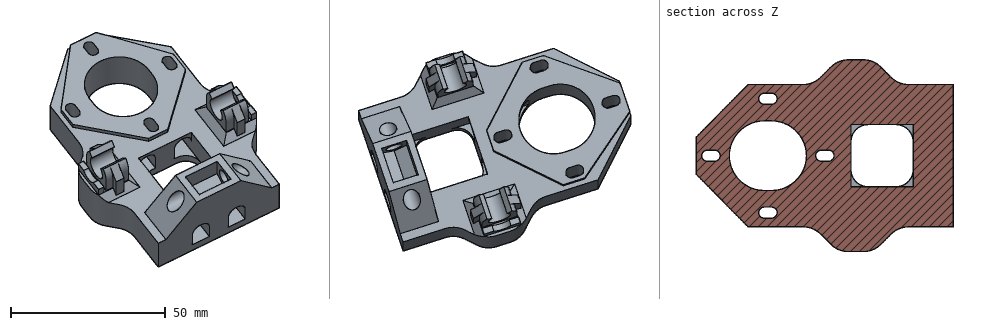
import cadquery as cq
import math


x_min = -23.15
x_max = 59.85
plate_half_width = 23.0
plate_height = 12.5
nose_half_width = 6.0
nose_shoulder_x = -6.4

clip_x = 28.4
wing_half_width = 31.0
wing_radius = 8.0
wing_top_half_length = 5.7
selection_margin = 1.0
overall_height = 24.51

pad_height = 1.5
pad_half_width = 21.4
pad_nose_half_width = 4.9
pad_flat_start_x = -2.4
pad_flat_end_x = 4.9
pad_end_x = 22.7
pad_end_half_width = 3.6
belt_travel = 2.4
motor_bore_diameter = 22.4
motor_hole_diameter = 3.5
motor_hole_spacing = 26.0
motor_hole_offset = motor_hole_spacing / math.sqrt(2)

window_size = 20.0
window_center_x = 36.85
window_corner_radius = 5.5
floor_height = 3.0
tunnel_width = 6.4
tunnel_spring_height = 8.1

block_length = 13.0
block_top_half_width = 8.4
block_height = 24.2
bolt_x = 53.35
bolt_z = 20.25
bolt_diameter = 5.5
nut_across_flats = 8.5
nut_trap_width = 12.0

flank_angle = 45.0
clip_outer_radius = 6.0
clip_inner_radius = 3.7
clip_start_y = 18.5
clip_length = 8.5
clip_axis_z = overall_height - clip_outer_radius * math.sin(math.radians(flank_angle))
seat_rise = 2.6
seat_top_half_length = 6.2
seat_top_z = plate_height + seat_rise
rib_half_length = 8.05
rib_width = 3.0
rib_start_y = 21.5
rib_peak_rise = 8.95
stop_start_y = 28.0
stop_thickness = 2.0
stop_top_z = 18.0


def both_sides(shape):
    """Return the shape joined with its mirror image across Y = 0."""
    return shape.union(shape.mirror("XZ"))


def box(x_range, y_range, z_range):
    """Return a block that fills the given ranges."""
    sizes = [high - low for low, high in (x_range, y_range, z_range)]
    corner = (x_range[0], y_range[0], z_range[0])
    return cq.Workplane("XY").box(*sizes, centered=False).translate(corner)


def along_y(start_y):
    """Return an XZ workplane at start_y with its origin below the clip axis, at Z = 0."""
    return cq.Workplane("XZ", origin=(clip_x, start_y, 0))


def outline_prism(height):
    """Return the plan outline of the plate and its wings, extruded upwards."""
    plate = (
        cq.Workplane("XY")
        .polyline([
            (x_min, -nose_half_width),
            (nose_shoulder_x, -plate_half_width),
            (x_max, -plate_half_width),
            (x_max, plate_half_width),
            (nose_shoulder_x, plate_half_width),
            (x_min, nose_half_width),
        ])
        .close()
        .extrude(height)
    )
    wing_foot_half_length = wing_top_half_length + wing_half_width - plate_half_width
    wing = (
        cq.Workplane("XY")
        .polyline([
            (clip_x - wing_foot_half_length, -plate_half_width),
            (clip_x - wing_top_half_length, -wing_half_width),
            (clip_x + wing_top_half_length, -wing_half_width),
            (clip_x + wing_foot_half_length, -plate_half_width),
            (clip_x + wing_foot_half_length, plate_half_width),
            (clip_x + wing_top_half_length, wing_half_width),
            (clip_x - wing_top_half_length, wing_half_width),
            (clip_x - wing_foot_half_length, plate_half_width),
        ])
        .close()
        .extrude(height)
    )
    body = plate.union(wing)
    rounded_edges = body.edges("|Z").filter(
        lambda edge: abs(edge.Center().x - clip_x) < wing_foot_half_length + selection_margin
    )
    return body.newObject(rounded_edges.vals()).fillet(wing_radius)


def motor_pad():
    """Return the raised pad the motor bolts to."""
    return (
        cq.Workplane("XY", origin=(0, 0, plate_height))
        .polyline([
            (x_min, -pad_nose_half_width),
            (pad_flat_start_x, -pad_half_width),
            (pad_flat_end_x, -pad_half_width),
            (pad_end_x, -pad_end_half_width),
            (pad_end_x, pad_end_half_width),
            (pad_flat_end_x, pad_half_width),
            (pad_flat_start_x, pad_half_width),
            (x_min, pad_nose_half_width),
        ])
        .close()
        .extrude(pad_height)
    )


def motor_cutout():
    """Return the motor bore and its four bolt holes, all slotted along X for belt tension."""
    depth = plate_height + pad_height
    bore = cq.Workplane("XY").slot2D(motor_bore_diameter + belt_travel, motor_bore_diameter).extrude(depth)
    bolts = (
        cq.Workplane("XY")
        .polarArray(motor_hole_offset, 0, 360, 4, rotate=False)
        .slot2D(motor_hole_diameter + belt_travel, motor_hole_diameter)
        .extrude(depth)
    )
    return bore.union(bolts)


def window_cutout():
    """Return the square pocket and the round-cornered opening through its floor."""
    opening = (
        cq.Workplane("XY", origin=(window_center_x, 0, 0))
        .rect(window_size, window_size)
        .extrude(plate_height)
        .edges("|Z")
        .fillet(window_corner_radius)
    )
    pocket = (
        cq.Workplane("XY", origin=(window_center_x, 0, floor_height))
        .rect(window_size, window_size)
        .extrude(plate_height - floor_height)
    )
    return opening.union(pocket)


def belt_tunnels():
    """Return two arched tunnels that run from the motor bore through the window to the +X end."""
    outer_y = window_size / 2
    inner_y = outer_y - tunnel_width
    tunnel = (
        cq.Workplane("YZ")
        .moveTo(inner_y, floor_height)
        .lineTo(outer_y, floor_height)
        .lineTo(outer_y, tunnel_spring_height)
        .threePointArc(
            ((inner_y + outer_y) / 2, tunnel_spring_height + tunnel_width / 2),
            (inner_y, tunnel_spring_height),
        )
        .close()
        .extrude(x_max)
    )
    return both_sides(tunnel)


def tensioner_block():
    """Return the sloped block with a bolt hole along Y and a nut trap open at the top."""
    foot_half_width = block_top_half_width + block_height - plate_height
    block = (
        cq.Workplane("YZ", origin=(x_max - block_length, 0, 0))
        .polyline([
            (-foot_half_width, plate_height),
            (foot_half_width, plate_height),
            (block_top_half_width, block_height),
            (-block_top_half_width, block_height),
        ])
        .close()
        .extrude(block_length)
    )
    bolt = (
        cq.Workplane("XZ", origin=(bolt_x, 0, bolt_z))
        .circle(bolt_diameter / 2)
        .extrude(foot_half_width, both=True)
    )
    nut_half_flats = nut_across_flats / 2
    nut_corner = nut_across_flats / math.sqrt(3)
    nut_trap = (
        cq.Workplane("XZ", origin=(bolt_x, 0, bolt_z))
        .polyline([
            (0, -nut_corner),
            (nut_half_flats, -nut_corner / 2),
            (nut_half_flats, block_height - bolt_z),
            (-nut_half_flats, block_height - bolt_z),
            (-nut_half_flats, -nut_corner / 2),
        ])
        .close()
        .extrude(nut_trap_width / 2, both=True)
    )
    return block.cut(bolt).cut(nut_trap)


def clip_seats(outline):
    """Return the raised seats with 45 degree flanks, trimmed to the plate outline."""
    inner_y = clip_start_y - seat_rise
    seat_length = 2 * (wing_half_width - inner_y)
    seat = (
        cq.Workplane("XY", origin=(clip_x, inner_y + seat_length / 2, plate_height))
        .rect(2 * (seat_top_half_length + seat_rise), seat_length)
        .extrude(seat_rise, taper=flank_angle)
    )
    return both_sides(seat).intersect(outline)


def rod_clips():
    """Return the snap clips with their side ribs and end stops."""
    body = along_y(clip_start_y).center(0, clip_axis_z).circle(clip_outer_radius).extrude(-clip_length)
    clip_x_range = (clip_x - clip_outer_radius, clip_x + clip_outer_radius)
    clip_y_range = (clip_start_y, clip_start_y + clip_length)
    base = box(clip_x_range, clip_y_range, (seat_top_z, clip_axis_z))
    rib = (
        along_y(rib_start_y)
        .polyline([
            (-rib_half_length, plate_height),
            (rib_half_length, plate_height),
            (rib_half_length, clip_axis_z),
            (0, clip_axis_z + rib_peak_rise),
            (-rib_half_length, clip_axis_z),
        ])
        .close()
        .extrude(-rib_width)
    )
    stop = box(
        (clip_x - seat_top_half_length, clip_x + seat_top_half_length),
        (stop_start_y, stop_start_y + stop_thickness),
        (seat_top_z, stop_top_z),
    )
    bore_length = wing_half_width - clip_start_y
    bore = along_y(clip_start_y).center(0, clip_axis_z).circle(clip_inner_radius).extrude(-bore_length)
    mouth_size = 2 * clip_outer_radius
    mouth = (
        along_y(clip_start_y)
        .center(0, clip_axis_z)
        .polyline([(0, 0), (mouth_size, mouth_size), (-mouth_size, mouth_size)])
        .close()
        .extrude(-clip_length)
    )
    clip = body.union(base).union(rib).union(stop).cut(bore).cut(mouth)
    return both_sides(clip)


plate = outline_prism(plate_height)
seats = clip_seats(outline_prism(overall_height))
result = (
    plate.union(motor_pad())
    .cut(motor_cutout())
    .cut(window_cutout())
    .cut(belt_tunnels())
    .union(tensioner_block())
    .union(seats)
    .union(rod_clips())
)